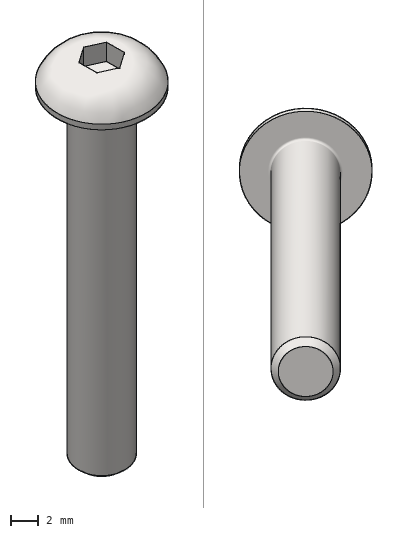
import cadquery as cq
import math

total_length = 37.75
head_height = 2.75
head_radius = 4.75
rim_height = 0.53
crown_radius = 2.15
dome_bulge = 0.45
shank_radius = 2.5
neck_fillet = 0.2
tip_chamfer = 0.53
socket_across_flats = 3.0
socket_depth = 1.8

head_base = total_length - head_height
rim_top = head_base + rim_height


def make_body():
    """Revolve the half profile of the shank and domed head."""
    chord_x = crown_radius - head_radius
    chord_z = total_length - rim_top
    chord = math.hypot(chord_x, chord_z)
    dome_middle = (
        (head_radius + crown_radius) / 2 + dome_bulge * chord_z / chord,
        (rim_top + total_length) / 2 - dome_bulge * chord_x / chord,
    )
    profile = (
        cq.Workplane("XZ")
        .moveTo(0, 0)
        .lineTo(shank_radius - tip_chamfer, 0)
        .lineTo(shank_radius, tip_chamfer)
        .lineTo(shank_radius, head_base - neck_fillet)
        .radiusArc((shank_radius + neck_fillet, head_base), neck_fillet)
        .lineTo(head_radius, head_base)
        .lineTo(head_radius, rim_top)
        .threePointArc(dome_middle, (crown_radius, total_length))
        .lineTo(0, total_length)
        .close()
    )
    return profile.revolve(360, (0, 0, 0), (0, 1, 0))


def make_socket():
    """Hexagonal drive socket with two corners on the Y axis."""
    across_corners = socket_across_flats / math.cos(math.radians(30))
    return (
        cq.Workplane("XY")
        .polygon(6, across_corners)
        .extrude(socket_depth)
        .rotate((0, 0, 0), (0, 0, 1), 90)
        .translate((0, 0, total_length - socket_depth))
    )


result = make_body().cut(make_socket())